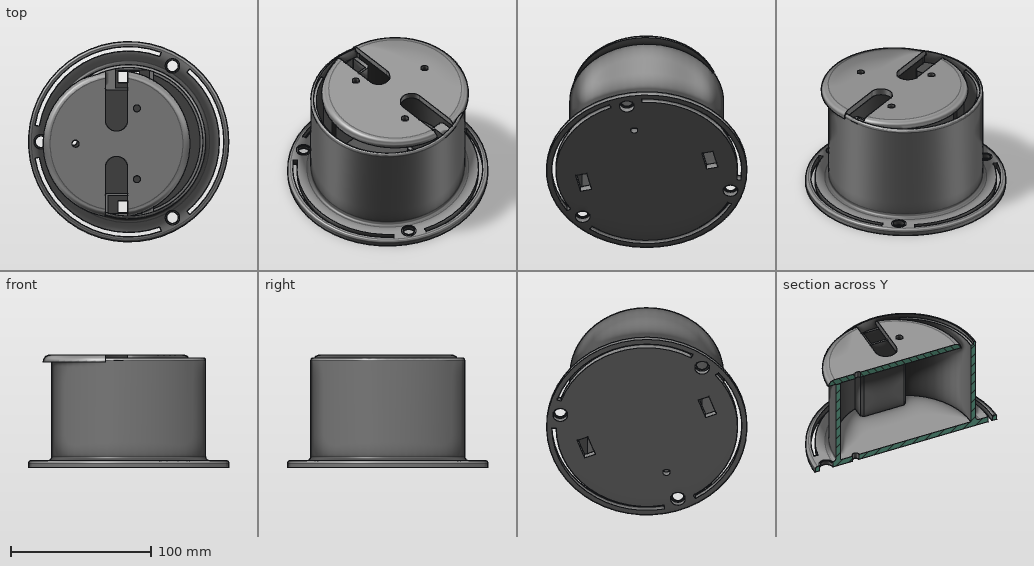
import cadquery as cq
import math

SIN_45 = math.sqrt(0.5)

total_height = 80.28
lid_thickness = 5.0
lid_proud = 2.0
rim_z = total_height - lid_proud
seat_z = total_height - lid_thickness
flange_thickness = 5.0

flange_radius = 143.04 / 2
flange_edge_fillet = 2.0
outer_radius = 110.0 / 2
seat_radius = 106.0 / 2
bore_radius = seat_radius - 2.0
base_fillet = 2.8
rim_fillet = outer_radius - seat_radius
floor_thickness = flange_thickness

mount_count = 3
mount_hole_diameter = 8.15
mount_hole_circle_radius = 62.5
mount_lip = 0.6
mount_relief_diameter = 10.4
slot_outer_radius = 67.8
slot_width = 3.0
slot_sweep = 100.0

tower_top_z = 69.0
tower_front_wall = 1.5
tower_side_wall = 3.0
pocket_x_min = -9.5
pocket_x_max = 14.8
pocket_y_max = 51.1
tower_half_width = pocket_x_max + tower_side_wall
tower_front_y = 37.0
tower_corner_chamfer = 2.0
pocket_y_min = tower_front_y + tower_front_wall
notch_half_width = tower_half_width
window_length = 15.2
window_width = 8.2
window_center_y = 46.2

screw_diameter = 5.0
floor_hole_x = -39.4

lid_center_x = -8.65
lid_center_y = -1.45
lid_radius = 52.4
lid_edge_radius = lid_thickness
lid_slot_width = 16.0
lid_slot_arc_offset = 17.0
lid_hole_circle_radius = 29.2
lid_hole_count = 3


def cylinder(radius, z_bottom, z_top):
    return cq.Workplane("XY").workplane(offset=z_bottom).circle(radius).extrude(z_top - z_bottom)


def box(x_min, x_max, y_min, y_max, z_min, z_max):
    size = (x_max - x_min, y_max - y_min, z_max - z_min)
    return cq.Workplane("XY").box(*size, centered=False).translate((x_min, y_min, z_min))


def turned(shape, angle):
    """Shape swung about the housing axis."""
    return shape.rotate((0, 0, 0), (0, 0, 1), angle)


def make_shell():
    """Turned profile: flange, closed floor, wall, lid ledge and rounded rim."""
    edge = flange_edge_fillet
    edge_mid = (flange_radius - edge * (1 - SIN_45), flange_thickness - edge * (1 - SIN_45))
    base_mid = (
        outer_radius + base_fillet * (1 - SIN_45),
        flange_thickness + base_fillet * (1 - SIN_45),
    )
    rim_mid = (outer_radius - rim_fillet * (1 - SIN_45), rim_z - rim_fillet * (1 - SIN_45))
    profile = (
        cq.Workplane("XZ")
        .moveTo(0, 0)
        .lineTo(flange_radius, 0)
        .lineTo(flange_radius, flange_thickness - edge)
        .threePointArc(edge_mid, (flange_radius - edge, flange_thickness))
        .lineTo(outer_radius + base_fillet, flange_thickness)
        .threePointArc(base_mid, (outer_radius, flange_thickness + base_fillet))
        .lineTo(outer_radius, rim_z - rim_fillet)
        .threePointArc(rim_mid, (seat_radius, rim_z))
        .lineTo(seat_radius, seat_z)
        .lineTo(bore_radius, seat_z)
        .lineTo(bore_radius, floor_thickness)
        .lineTo(0, floor_thickness)
        .close()
    )
    return profile.revolve(360, (0, 0, 0), (0, 1, 0))


def make_curved_slot():
    """Ring sector centred on the +X direction."""
    half = math.radians(slot_sweep / 2)
    inner_radius = slot_outer_radius - slot_width

    def at(radius, angle):
        return (radius * math.cos(angle), radius * math.sin(angle))

    return (
        cq.Workplane("XY")
        .moveTo(*at(inner_radius, -half))
        .lineTo(*at(slot_outer_radius, -half))
        .threePointArc((slot_outer_radius, 0), at(slot_outer_radius, half))
        .lineTo(*at(inner_radius, half))
        .threePointArc((inner_radius, 0), at(inner_radius, -half))
        .close()
        .extrude(flange_thickness)
    )


def cut_flange(body):
    """Curved slots alternating with mounting holes that widen below a thin top lip."""
    slot = make_curved_slot()
    hole = cylinder(mount_hole_diameter / 2, 0, flange_thickness)
    relief = cylinder(mount_relief_diameter / 2, 0, flange_thickness - mount_lip)
    stepped_hole = hole.union(relief).translate((-mount_hole_circle_radius, 0, 0))
    for index in range(mount_count):
        angle = index * 360 / mount_count
        body = body.cut(turned(slot, angle)).cut(turned(stepped_hole, angle))
    return body


def add_tower(body, angle):
    """Box against the wall with a deep pocket, a window through the floor and a gap in the ledge."""
    block = box(-tower_half_width, tower_half_width, tower_front_y, outer_radius, 0, tower_top_z)
    block = block.edges("|Z and <Y").chamfer(tower_corner_chamfer)
    notch = box(-notch_half_width, notch_half_width, tower_front_y, outer_radius, tower_top_z, seat_z)
    pocket = box(pocket_x_min, pocket_x_max, pocket_y_min, pocket_y_max, floor_thickness, tower_top_z)
    window = (
        cq.Workplane("XY")
        .center(0, window_center_y)
        .rect(window_length, window_width)
        .extrude(floor_thickness)
    )
    block = block.intersect(cylinder(seat_radius, 0, tower_top_z))
    notch = notch.intersect(cylinder(seat_radius, tower_top_z, seat_z))
    pocket = pocket.intersect(cylinder(seat_radius, floor_thickness, tower_top_z))
    body = body.union(turned(block, angle))
    for opening in (notch, pocket, window):
        body = body.cut(turned(opening, angle))
    return body


def make_lid():
    """Disc with a quarter-round edge, two slots open to the edge and three screw holes."""
    flat_radius = lid_radius - lid_edge_radius
    edge_mid = (flat_radius + lid_edge_radius * SIN_45, lid_edge_radius * SIN_45)
    disc = (
        cq.Workplane("XZ")
        .lineTo(lid_radius, 0)
        .threePointArc(edge_mid, (flat_radius, lid_thickness))
        .lineTo(0, lid_thickness)
        .close()
        .revolve(360, (0, 0, 0), (0, 1, 0))
    )
    half_slot = lid_slot_width / 2
    for side in (1, -1):
        round_end = cylinder(half_slot, 0, lid_thickness).translate((0, side * lid_slot_arc_offset, 0))
        y_limits = sorted((side * lid_slot_arc_offset, side * lid_radius))
        opening = box(-half_slot, half_slot, *y_limits, 0, lid_thickness)
        disc = disc.cut(round_end).cut(opening)
    screw_holes = (
        cq.Workplane("XY")
        .polarArray(lid_hole_circle_radius, 180, 360, lid_hole_count)
        .circle(screw_diameter / 2)
        .extrude(lid_thickness)
    )
    return disc.cut(screw_holes).translate((lid_center_x, lid_center_y, seat_z))


def make_housing(lid_body):
    body = cut_flange(make_shell())
    for angle in (0, 180):
        body = add_tower(body, angle)
    floor_hole = cylinder(screw_diameter / 2, 0, floor_thickness).translate((floor_hole_x, 0, 0))
    return body.cut(floor_hole).cut(lid_body)


lid = make_lid()
housing = make_housing(lid)

result = cq.Compound.makeCompound([housing.solids().val(), lid.solids().val()])